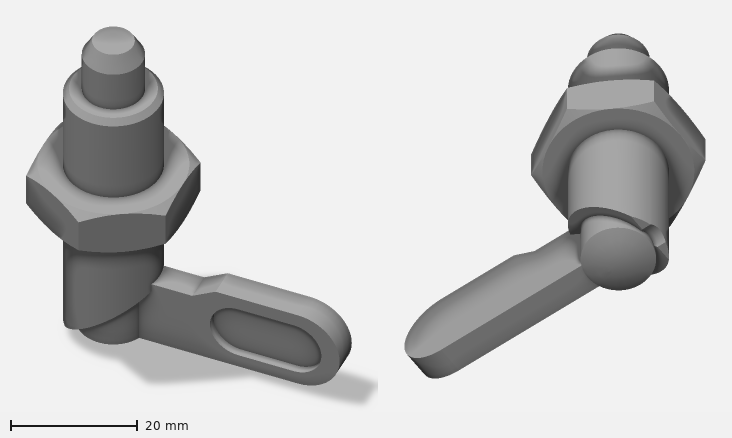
import cadquery as cq
import math

total_height = 60.3

pin_radius = 5.0
pin_tip_radius = 3.4
pin_taper_height = 2.8

sleeve_diameter = 16.0
sleeve_bottom = 2.1
sleeve_top = 50.25
sleeve_chamfer = 0.95

ramp_low_x = -6.15
ramp_angle = 36.2
notch_width = 4.1
notch_height = 0.9

nut_across_flats = 24.0
nut_bottom = 26.3
nut_height = 8.0
nut_chamfer_angle = 30.0

knob_radius = 6.0
lever_bottom = 1.55
lever_thickness = 4.8
lever_height = 14.35
lever_end_x = 40.0
neck_top = 13.65
neck_end_x = 14.6
shoulder_end_x = 18.65

pocket_margin = 2.35
pocket_start_x = 17.7
pocket_end_x = 36.85
pocket_depth = 1.45

sleeve_radius = sleeve_diameter / 2
lever_top = lever_bottom + lever_height
lever_round = lever_height / 2
lever_mid_z = lever_bottom + lever_round
pocket_height = lever_height - 2 * pocket_margin


def cylinder(radius, bottom, top):
    """Cylinder on the Z axis between two heights."""
    return cq.Workplane("XY").workplane(offset=bottom).circle(radius).extrude(top - bottom)


def make_ramp_cutter():
    """Wedge below the slanted plane, rising toward +X through the whole sleeve."""
    reach = 2 * sleeve_radius
    rise = (reach - ramp_low_x) * math.tan(math.radians(ramp_angle))
    return (
        cq.Workplane("XZ")
        .moveTo(ramp_low_x, sleeve_bottom)
        .lineTo(reach, sleeve_bottom)
        .lineTo(reach, sleeve_bottom + rise)
        .close()
        .extrude(reach, both=True)
    )


def make_notch_cutter():
    """Arched detent groove across the bottom of the sleeve on its -X side."""
    return (
        cq.Workplane("YZ")
        .moveTo(-notch_width / 2, sleeve_bottom)
        .threePointArc((0, sleeve_bottom + notch_height), (notch_width / 2, sleeve_bottom))
        .close()
        .extrude(-2 * sleeve_radius)
    )


def make_lever_slot():
    """Slot in the +X wall of the sleeve, filled by the neck of the lever."""
    length = 2 * sleeve_radius
    height = neck_top - lever_bottom
    return (
        cq.Workplane("XY")
        .box(length, lever_thickness, height, centered=(False, True, False))
        .translate((0, 0, lever_bottom))
    )


def make_sleeve():
    """Stepped sleeve: the pin runs in its upper bore and the knob in its lower bore."""
    sleeve = cylinder(sleeve_radius, sleeve_bottom, sleeve_top).faces(">Z").chamfer(sleeve_chamfer)
    sleeve = sleeve.cut(cylinder(pin_radius, sleeve_bottom, sleeve_top))
    sleeve = sleeve.cut(cylinder(knob_radius, sleeve_bottom, neck_top))
    return sleeve.cut(make_ramp_cutter()).cut(make_notch_cutter()).cut(make_lever_slot())


def make_nut():
    """Hexagon nut with two corners on the Y axis and both faces chamfered by cones."""
    corner_radius = nut_across_flats / math.sqrt(3)
    flat_radius = nut_across_flats / 2
    drop = (corner_radius - flat_radius) * math.tan(math.radians(nut_chamfer_angle))
    nut_top = nut_bottom + nut_height
    hexagon = (
        cq.Workplane("XY")
        .workplane(offset=nut_bottom)
        .polygon(6, 2 * corner_radius)
        .extrude(nut_height)
        .rotate((0, 0, 0), (0, 0, 1), 30)
    )
    chamfer_envelope = (
        cq.Workplane("XZ")
        .moveTo(0, nut_bottom)
        .lineTo(flat_radius, nut_bottom)
        .lineTo(corner_radius, nut_bottom + drop)
        .lineTo(corner_radius, nut_top - drop)
        .lineTo(flat_radius, nut_top)
        .lineTo(0, nut_top)
        .close()
        .revolve(360, (0, 0, 0), (0, 1, 0))
    )
    return hexagon.intersect(chamfer_envelope).cut(cylinder(sleeve_radius, nut_bottom, nut_top))


def make_plunger_core():
    """Turned pin with a tapered tip, a wider knob below and a domed underside."""
    dome_sphere_radius = (knob_radius**2 + lever_bottom**2) / (2 * lever_bottom)
    dome_mid_x = knob_radius / 2
    dome_mid_z = dome_sphere_radius - math.sqrt(dome_sphere_radius**2 - dome_mid_x**2)
    return (
        cq.Workplane("XZ")
        .moveTo(0, 0)
        .threePointArc((dome_mid_x, dome_mid_z), (knob_radius, lever_bottom))
        .lineTo(knob_radius, neck_top)
        .lineTo(pin_radius, neck_top)
        .lineTo(pin_radius, total_height - pin_taper_height)
        .lineTo(pin_tip_radius, total_height)
        .lineTo(0, total_height)
        .close()
        .revolve(360, (0, 0, 0), (0, 1, 0))
    )


def make_lever_plate():
    """Flat lever with a stepped neck, a round end and a shallow pocket in its -Y face."""
    round_center_x = lever_end_x - lever_round
    plate = (
        cq.Workplane("XZ")
        .moveTo(0, lever_bottom)
        .lineTo(round_center_x, lever_bottom)
        .threePointArc((lever_end_x, lever_mid_z), (round_center_x, lever_top))
        .lineTo(shoulder_end_x, lever_top)
        .lineTo(neck_end_x, neck_top)
        .lineTo(0, neck_top)
        .close()
        .extrude(lever_thickness / 2, both=True)
    )
    pocket = (
        cq.Workplane("XZ", origin=(0, -lever_thickness / 2, 0))
        .center((pocket_start_x + pocket_end_x) / 2, lever_mid_z)
        .slot2D(pocket_end_x - pocket_start_x, pocket_height)
        .extrude(-pocket_depth)
    )
    return plate.cut(pocket)


def make_lever_plunger():
    """Pin, knob and lever as one solid."""
    return make_plunger_core().union(make_lever_plate())


sleeve = make_sleeve()
nut = make_nut()
lever_plunger = make_lever_plunger()

result = cq.Compound.makeCompound(
    [sleeve.solids().val(), nut.solids().val(), lever_plunger.solids().val()]
)